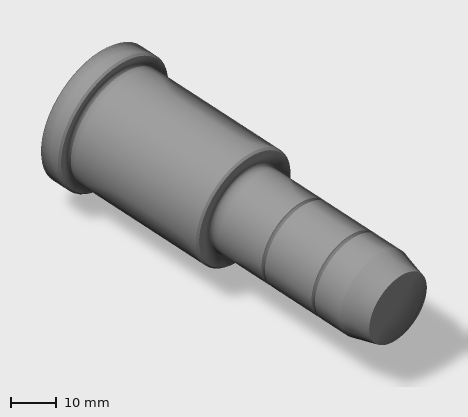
import cadquery as cq

total_length = 91.0

head_diameter = 35.0
head_length = 6.0
body_diameter = 30.0
body_end = 45.0
pin_diameter = 22.0

edge_chamfer = 0.5
root_fillet = 0.5

ring_groove_radius = 0.5
first_groove_position = 61.0
groove_spacing = 15.0
groove_count = 2

lead_in_length = 7.0
tip_diameter = 18.3
lead_in_start = total_length - lead_in_length

x_axis = cq.Vector(1, 0, 0)


def cylinder(start, end, diameter):
    """Solid cylinder along X between two positions."""
    return cq.Workplane("YZ", origin=(start, 0, 0)).circle(diameter / 2).extrude(end - start)


def ring_groove(position, diameter):
    """Torus centred on a cylinder's surface, to cut a semicircular groove around it."""
    center = cq.Vector(position, 0, 0)
    return cq.Workplane(obj=cq.Solid.makeTorus(diameter / 2, ring_groove_radius, center, x_axis))


def make_head():
    return cylinder(0, head_length, head_diameter).edges().chamfer(edge_chamfer)


def make_body():
    body = cylinder(head_length, body_end, body_diameter)
    return body.faces(">X").edges().chamfer(edge_chamfer)


def make_pin():
    shank = cylinder(body_end, lead_in_start, pin_diameter)
    lead_in = cq.Solid.makeCone(
        pin_diameter / 2,
        tip_diameter / 2,
        lead_in_length,
        cq.Vector(lead_in_start, 0, 0),
        x_axis,
    )
    return shank.union(cq.Workplane(obj=lead_in))


def make_body_and_pin():
    """Body and pin joined, with a fillet where the pin leaves the shoulder of the body."""
    joined = make_body().union(make_pin())
    shoulder = joined.faces("|X").faces(cq.selectors.CenterNthSelector(x_axis, 1))
    return shoulder.edges(cq.selectors.RadiusNthSelector(0)).fillet(root_fillet)


result = make_head().union(make_body_and_pin())
result = result.cut(ring_groove(head_length + ring_groove_radius, body_diameter))
for index in range(groove_count):
    groove_position = first_groove_position + index * groove_spacing
    result = result.cut(ring_groove(groove_position, pin_diameter))